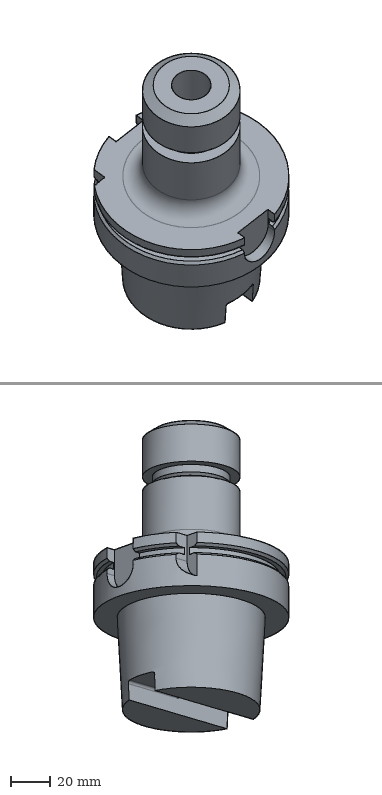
import cadquery as cq

total_height = 150.0
shank_height = 50.0
flange_top = 79.0
body_top = total_height - 32.0
neck_top = total_height - 29.4
collar_bottom = total_height - 28.0
nut_bottom = total_height - 24.0
nut_chamfer_height = 3.9

shank_end_radius = 35.2
shank_root_radius = 38.0
flange_radius = 100.0 / 2
body_radius = flange_radius / 2
root_fillet = 10.0
neck_radius = 18.6
collar_radius = 20.0
nut_top_radius = 19.5
bore_radius = 10.0
bore_depth = 50.0

groove_floor_radius = 45.8
groove_edge_chamfer = 1.5
groove_shoulder_radius = flange_radius - groove_edge_chamfer
groove_upper_edge = flange_top - 5.7
groove_upper_face = flange_top - 7.0
groove_lower_face = flange_top - 10.6
groove_lower_edge = flange_top - 12.0

slot_width = 20.0
wide_slot_width = 22.0
slot_depth = 24.0
slot_wall = 44.0
corner_slot_wall = 31.2
corner_slot_side = -31.5

notch_width = 20.0
notch_fillet = 1.5
shallow_notch_height = 10.2
deep_notch_height = 15.0


def turned_body():
    """Revolve the shank, grooved flange, body, neck and nut in one profile."""
    profile = (
        cq.Workplane("XZ")
        .moveTo(0, 0)
        .lineTo(shank_end_radius, 0)
        .lineTo(shank_root_radius, shank_height)
        .lineTo(flange_radius, shank_height)
        .lineTo(flange_radius, groove_lower_edge)
        .lineTo(groove_shoulder_radius, groove_lower_face)
        .lineTo(groove_floor_radius, groove_lower_face)
        .lineTo(groove_floor_radius, groove_upper_face)
        .lineTo(groove_shoulder_radius, groove_upper_face)
        .lineTo(flange_radius, groove_upper_edge)
        .lineTo(flange_radius, flange_top)
        .lineTo(body_radius + root_fillet, flange_top)
        .radiusArc((body_radius, flange_top + root_fillet), root_fillet)
        .lineTo(body_radius, body_top)
        .lineTo(neck_radius, body_top)
        .lineTo(neck_radius, neck_top)
        .lineTo(collar_radius, collar_bottom)
        .lineTo(collar_radius, nut_bottom)
        .lineTo(body_radius, nut_bottom)
        .lineTo(body_radius, total_height - nut_chamfer_height)
        .lineTo(nut_top_radius, total_height)
        .lineTo(0, total_height)
        .close()
    )
    return profile.revolve(360, (0, 0, 0), (0, 1, 0))


def bore():
    """Blind tool bore in the nut end."""
    return cq.Workplane("XY").workplane(offset=total_height).circle(bore_radius).extrude(-bore_depth)


def key_slot(width, wall, center_y, side):
    """Round-bottomed slot open outward from x = side * wall; side is +1 or -1."""
    round_center = flange_top - slot_depth + width / 2
    return (
        cq.Workplane("YZ", origin=(side * wall, center_y, 0))
        .moveTo(-width / 2, flange_top)
        .lineTo(-width / 2, round_center)
        .threePointArc((0, flange_top - slot_depth), (width / 2, round_center))
        .lineTo(width / 2, flange_top)
        .close()
        .extrude(side * flange_radius)
    )


def drive_notch(height, side):
    """Notch in the shank end, running from the axis outward on one side."""
    length = shank_root_radius
    return (
        cq.Workplane("XY")
        .center(side * length / 2, 0)
        .rect(length, notch_width)
        .extrude(height)
        .edges("|X and >Z")
        .fillet(notch_fillet)
    )


result = (
    turned_body()
    .cut(bore())
    .cut(key_slot(slot_width, slot_wall, 0, -1))
    .cut(key_slot(wide_slot_width, slot_wall, 0, 1))
    .cut(key_slot(slot_width, corner_slot_wall, corner_slot_side - slot_width / 2, -1))
    .cut(drive_notch(shallow_notch_height, -1))
    .cut(drive_notch(deep_notch_height, 1))
)